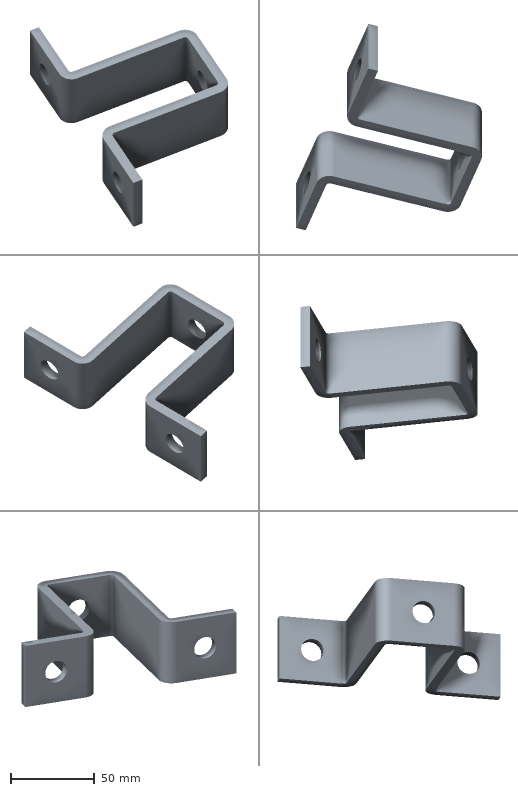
import cadquery as cq

length = 137.0
depth = 88.0
height = 40.0

thickness = 6.0
inner_radius = 2.0
outer_radius = inner_radius + thickness
hat_width = 55.1

hole_diameter = 14.0
left_hole_x = -48.6
crown_hole_x = -0.7
right_hole_x = 48.2

half_length = length / 2
hat_outer = hat_width / 2
hat_inner = hat_outer - thickness


def hat_strip():
    """Hat-shaped strip with sharp corners, extruded along Z."""
    right_side = [
        (hat_inner, depth - thickness),
        (hat_inner, 0),
        (half_length, 0),
        (half_length, thickness),
        (hat_outer, thickness),
        (hat_outer, depth),
    ]
    left_side = [(-x, y) for x, y in reversed(right_side)]
    return (
        cq.Workplane("XY")
        .workplane(offset=-height / 2)
        .polyline(right_side + left_side)
        .close()
        .extrude(height)
    )


def round_bends(strip):
    """Round both faces of each bend with concentric radii."""
    outside_corners = [(hat_outer, depth), (hat_inner, 0)]
    inside_corners = [(hat_inner, depth - thickness), (hat_outer, thickness)]
    for corners, radius in ((outside_corners, outer_radius), (inside_corners, inner_radius)):
        for x, y in corners:
            for side in (-1, 1):
                corner_edge = cq.selectors.NearestToPointSelector((side * x, y, 0))
                strip = strip.edges("|Z").edges(corner_edge).fillet(radius)
    return strip


def bolt_holes():
    """Cylinders along Y through both flanges and the crown."""
    return (
        cq.Workplane("XZ")
        .pushPoints([(x, 0) for x in (left_hole_x, crown_hole_x, right_hole_x)])
        .circle(hole_diameter / 2)
        .extrude(-depth)
    )


result = round_bends(hat_strip()).cut(bolt_holes())